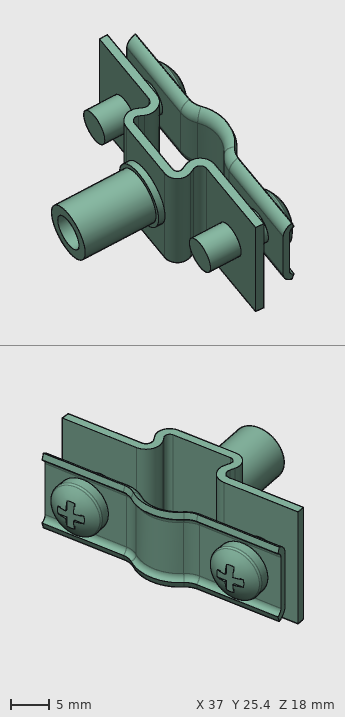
import cadquery as cq
import math

plate_half_length = 18.5
screw_spacing = 25.0
shank_diameter = 5.0

bracket_width = 18.0
bracket_thickness = 1.25
bracket_depth = 5.0
wing_bend_radius = 1.0
seat_bend_radius = 0.75
neck_angle = 25.0
seat_half_length = 4.5
end_setback = 0.1

strap_width = 12.0
strap_thickness = 1.0
strap_gap = 3.0
lip_radius = 2.0
lip_angle = 72.0
crest_radius = 5.0
valley_radius = 4.2
bulge_rise = 2.0

screw_length = 10.0
head_diameter = 8.0
head_base_diameter = 7.9
head_height = 3.25
head_rim_radius = 0.45
dome_radius = 5.8
slot_width = 1.2
slot_depth = 0.4

socket_length = 12.0
socket_diameter = 8.0
bore_diameter = 5.0
collar_diameter = 9.25
collar_thickness = 1.0

screw_positions = [-screw_spacing / 2, screw_spacing / 2]
seat_front = -bracket_thickness
strap_front = bracket_depth + strap_gap
strap_back = strap_front + strap_thickness
lip_sweep = math.radians(lip_angle)


def around(center, radius, degrees):
    """Point on a circle, with the angle measured from +X."""
    angle = math.radians(degrees)
    return (center[0] + radius * math.cos(angle), center[1] + radius * math.sin(angle))


def mirrored(point):
    """Same point on the other side of the YZ plane."""
    return (-point[0], point[1])


def rod(diameter, y_start, y_end, x=0.0):
    """Cylinder along Y."""
    axis_start = cq.Vector(x, y_start, 0)
    direction = cq.Vector(0, y_end - y_start, 0)
    return cq.Workplane(cq.Solid.makeCylinder(diameter / 2, abs(y_end - y_start), axis_start, direction))


def bracket_half(setback):
    """The +X half of the bent strip: half the seat, an S-shaped side and a wing."""
    wing_outer = wing_bend_radius + bracket_thickness
    seat_outer = seat_bend_radius + bracket_thickness
    wing_front = bracket_depth - bracket_thickness

    bend_sum = wing_outer + seat_bend_radius
    wing_center_y = bracket_depth - wing_outer
    tilt = math.radians(neck_angle)
    neck_length = (wing_center_y - seat_bend_radius - bend_sum * math.sin(tilt)) / math.cos(tilt)
    bend_offset = bend_sum * math.cos(tilt) - neck_length * math.sin(tilt)
    seat_center = (seat_half_length, seat_bend_radius)
    wing_center = (seat_half_length + bend_offset, wing_center_y)

    seat_start, seat_middle, seat_end = -90, (neck_angle - 90) / 2, neck_angle
    wing_start, wing_middle, wing_end = 180 + neck_angle, (270 + neck_angle) / 2, 90

    return (
        cq.Workplane("XY")
        .moveTo(0, 0)
        .lineTo(seat_half_length, 0)
        .threePointArc(
            around(seat_center, seat_bend_radius, seat_middle),
            around(seat_center, seat_bend_radius, seat_end),
        )
        .lineTo(*around(wing_center, wing_outer, wing_start))
        .threePointArc(
            around(wing_center, wing_outer, wing_middle),
            around(wing_center, wing_outer, wing_end),
        )
        .lineTo(plate_half_length, bracket_depth)
        .lineTo(plate_half_length - setback, wing_front)
        .lineTo(*around(wing_center, wing_bend_radius, wing_end))
        .threePointArc(
            around(wing_center, wing_bend_radius, wing_middle),
            around(wing_center, wing_bend_radius, wing_start),
        )
        .lineTo(*around(seat_center, seat_outer, seat_end))
        .threePointArc(
            around(seat_center, seat_outer, seat_middle),
            around(seat_center, seat_outer, seat_start),
        )
        .lineTo(0, seat_front)
        .close()
        .extrude(bracket_width / 2, both=True)
    )


def make_bracket():
    """Trough-shaped bracket with a screw hole in each wing."""
    square_half = bracket_half(0).mirror("YZ")
    bracket = bracket_half(end_setback).union(square_half)
    for x in screw_positions:
        bracket = bracket.cut(rod(shank_diameter, 0, bracket_depth, x))
    return bracket


def make_strap():
    """Channel with curled long edges, swept along a line with a central bulge."""
    lip_inner = lip_radius - strap_thickness
    flat_half = strap_width / 2 - lip_radius * math.sin(lip_sweep)
    lip_center_y = strap_front + lip_radius

    def lip_point(radius, angle, side):
        return (lip_center_y - radius * math.cos(angle), side * (flat_half + radius * math.sin(angle)))

    half = lip_sweep / 2
    profile = (
        cq.Workplane("YZ", origin=(-plate_half_length, 0, 0))
        .moveTo(strap_front, -flat_half)
        .lineTo(strap_front, flat_half)
        .threePointArc(lip_point(lip_radius, half, 1), lip_point(lip_radius, lip_sweep, 1))
        .lineTo(*lip_point(lip_inner, lip_sweep, 1))
        .threePointArc(lip_point(lip_inner, half, 1), lip_point(lip_inner, 0, 1))
        .lineTo(*lip_point(lip_inner, 0, -1))
        .threePointArc(lip_point(lip_inner, half, -1), lip_point(lip_inner, lip_sweep, -1))
        .lineTo(*lip_point(lip_radius, lip_sweep, -1))
        .threePointArc(lip_point(lip_radius, half, -1), (strap_front, -flat_half))
        .close()
    )

    slope = math.degrees(math.acos(1 - bulge_rise / (crest_radius + valley_radius)))
    bulge_half = (crest_radius + valley_radius) * math.sin(math.radians(slope))
    valley_center = (bulge_half, strap_front + valley_radius)
    crest_center = (0, strap_front + bulge_rise - crest_radius)
    valley_start = (bulge_half, strap_front)
    valley_middle = around(valley_center, valley_radius, 270 - slope / 2)
    valley_end = around(valley_center, valley_radius, 270 - slope)
    path = (
        cq.Workplane("XY")
        .moveTo(-plate_half_length, strap_front)
        .lineTo(*mirrored(valley_start))
        .threePointArc(mirrored(valley_middle), mirrored(valley_end))
        .threePointArc(around(crest_center, crest_radius, 90), valley_end)
        .threePointArc(valley_middle, valley_start)
        .lineTo(plate_half_length, strap_front)
    )
    strap = profile.sweep(path)

    for x in screw_positions:
        strap = strap.cut(rod(shank_diameter, strap_front, strap_back, x))
    return strap


def make_screw(x):
    """Domed screw with a cross slot, seated on the back of the strap."""
    rim = head_diameter / 2
    head_top = strap_back + head_height
    dome_center = (0, head_top - dome_radius)

    rounding_x = rim - head_rim_radius
    rounding_angle = math.degrees(math.acos(rounding_x / (dome_radius - head_rim_radius)))
    rounding_y = around(dome_center, dome_radius - head_rim_radius, rounding_angle)[1]
    rounding_center = (rounding_x, rounding_y)

    head = (
        cq.Workplane("XY")
        .moveTo(0, strap_back)
        .lineTo(head_base_diameter / 2, strap_back)
        .lineTo(rim, rounding_y)
        .threePointArc(
            around(rounding_center, head_rim_radius, rounding_angle / 2),
            around(rounding_center, head_rim_radius, rounding_angle),
        )
        .threePointArc(
            around(dome_center, dome_radius, (rounding_angle + 90) / 2),
            (0, head_top),
        )
        .close()
        .revolve(360, (0, 0, 0), (0, 1, 0))
    )

    slot_center = (0, head_top - slot_depth / 2, 0)
    slot_along_x = cq.Workplane("XY").box(head_diameter, slot_depth, slot_width).translate(slot_center)
    slot_along_z = cq.Workplane("XY").box(slot_width, slot_depth, head_diameter).translate(slot_center)
    head = head.cut(slot_along_x).cut(slot_along_z).translate((x, 0, 0))

    shank = rod(shank_diameter, strap_back - screw_length, strap_back, x)
    return head.union(shank)


def make_socket():
    """Collared tube standing on the front face of the seat."""
    tube = rod(socket_diameter, seat_front - socket_length, seat_front)
    collar = rod(collar_diameter, seat_front - collar_thickness, seat_front)
    bore = rod(bore_diameter, seat_front - socket_length, seat_front)
    return tube.union(collar).cut(bore)


bracket = make_bracket()
strap = make_strap()
screws = [make_screw(x) for x in screw_positions]
socket = make_socket()

result = cq.Compound.makeCompound(
    [bracket.val(), strap.val(), *[screw.val() for screw in screws], socket.val()]
)